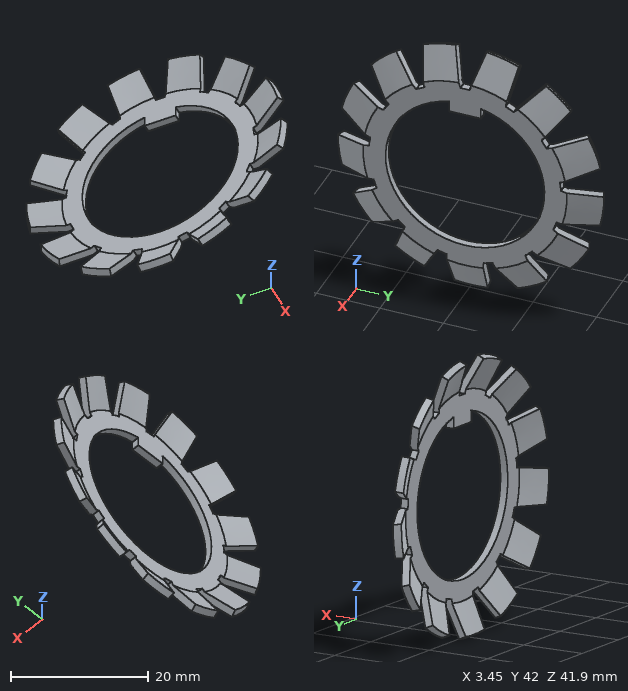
import cadquery as cq
import math

tip_radius = 21.0
overall_depth = 3.45
thickness = 1.25
bore_radius = 12.5

tooth_count = 13
bend_angle = math.radians(25)

gap_floor_radius = 15.15
gap_floor_width = 1.43
gap_tip_width = 4.95
gap_end_radius = 21.85

tab_width = 5.0
tab_inner_radius = 10.55

tip_face_depth = thickness * math.cos(bend_angle)
tip_face_drop = thickness * math.sin(bend_angle)
outer_tip_x = tip_face_depth - overall_depth
back_bend_radius = tip_radius + outer_tip_x / math.tan(bend_angle)
front_bend_radius = back_bend_radius - thickness * math.tan(bend_angle / 2)


def dished_ring():
    """Revolve the section of the flat ring and its conical rim around X."""
    section = [
        (0, bore_radius),
        (0, back_bend_radius),
        (outer_tip_x, tip_radius),
        (-overall_depth, tip_radius - tip_face_drop),
        (-thickness, front_bend_radius),
        (-thickness, bore_radius),
    ]
    return cq.Workplane("XY").polyline(section).close().revolve(360, (0, 0, 0), (1, 0, 0))


def tooth_gap():
    """Flat-bottomed V cutter, centred on +Z and passing through the whole depth."""
    flare = (gap_tip_width - gap_floor_width) / (tip_radius - gap_floor_radius)
    end_width = gap_floor_width + flare * (gap_end_radius - gap_floor_radius)
    outline = [
        (-gap_floor_width / 2, gap_floor_radius),
        (gap_floor_width / 2, gap_floor_radius),
        (end_width / 2, gap_end_radius),
        (-end_width / 2, gap_end_radius),
    ]
    return cq.Workplane("YZ").polyline(outline).close().extrude(-overall_depth)


def key_tab():
    """Rectangular tab at +Z, rooted halfway into the ring."""
    root_radius = (bore_radius + gap_floor_radius) / 2
    height = root_radius - tab_inner_radius
    return (
        cq.Workplane("YZ")
        .center(0, tab_inner_radius + height / 2)
        .rect(tab_width, height)
        .extrude(-thickness)
    )


result = dished_ring().union(key_tab())
gap = tooth_gap()
for index in range(tooth_count):
    result = result.cut(gap.rotate((0, 0, 0), (1, 0, 0), index * 360 / tooth_count))